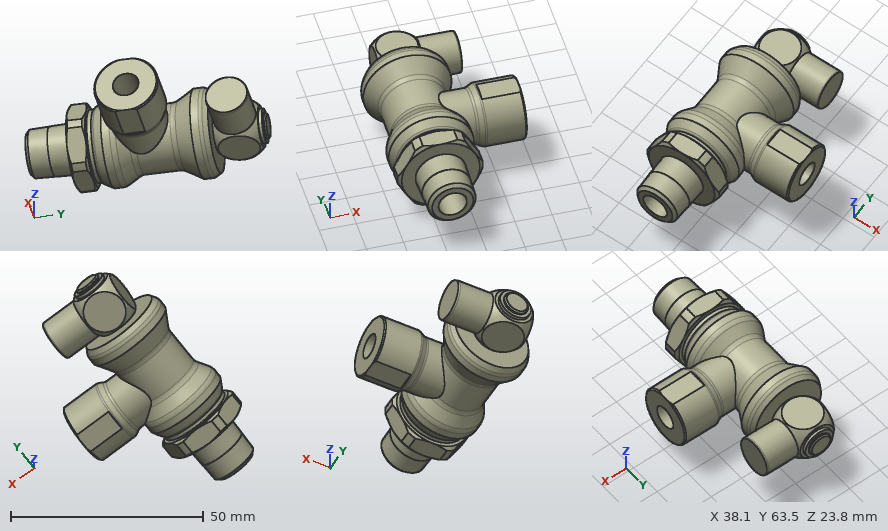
import cadquery as cq
import math


slope = math.tan(math.radians(30))

thread_length = 11.85
thread_tip_radius = 6.4
thread_taper = 1 / 32
thread_gauge_y = 6.1
thread_gauge_step = 0.03
thread_chamfer = 0.9

hex_across_flats = 21.0
hex_corner_radius = 11.5
hex_length = 5.1
hex_chamfer_length = 0.65

neck_radius = 8.9
neck_length = 0.25
collar_radius = 9.65
collar_length = 1.15
collar_lead = 0.45
lower_bulge_radius = 11.5
lower_bulge_start = 21.3
waist_radius = 8.9
waist_start = 28.75
waist_end = 39.9
upper_bulge_radius = 23.8 / 2
upper_bulge_end = 47.7
body_end = 49.6
lead_fillet = 1.95
body_fillet = 3.0

branch_y = 31.15
branch_neck_radius = 7.5
branch_head_radius = 8.5
branch_flare_start = 13.2
branch_flare_end = 15.15
branch_end = 26.2
branch_flats = 16.0
branch_flats_start = 15.5
branch_chamfer = 0.4
branch_root_fillet = 1.5
branch_rim_fillet = 1.0

elbow_width = 12.0
elbow_face_radius = 5.5
elbow_y = 55.7
outlet_radius = 11.2 / 2
outlet_end = 16.1
outlet_chamfer_length = 0.45
outlet_chamfer_depth = 0.1
swivel_radius = 4.6
cap_flange_end = 62.6
cap_radius = 3.5
cap_chamfer = 0.45
overall_length = 63.45

drill_half_angle = math.radians(118 / 2)
inlet_bore_radius = 3.8
inlet_bore_depth = 30.6
branch_bore_radius = 3.4


def turned(outline):
    """Solid of revolution about Y from (radius, y) points."""
    closed = [(0, outline[0][1])] + outline
    if outline[-1][0] > 0:
        closed.append((0, outline[-1][1]))
    return cq.Workplane("XY").polyline(closed).close().revolve(360, (0, 0, 0), (0, 1, 0))


def turned_along_x(outline, y):
    """Solid of revolution about the line parallel to X at the given y, from (x, radius) points."""
    closed = outline + [(outline[-1][0], 0)]
    if outline[0][1] > 0:
        closed.append((outline[0][0], 0))
    profile = cq.Workplane("XY", origin=(0, y, 0)).polyline(closed).close()
    return profile.revolve(360, (0, 0, 0), (1, 0, 0))


def round_ring(solid, center, radius):
    """Fillet the circular edge with the given centre."""
    return solid.edges("%CIRCLE").edges(cq.NearestToPointSelector(center)).fillet(radius)


def make_thread():
    def radius_at(y):
        return thread_tip_radius + thread_taper * y

    return turned([
        (thread_tip_radius - thread_chamfer, 0),
        (radius_at(thread_chamfer), thread_chamfer),
        (radius_at(thread_gauge_y), thread_gauge_y),
        (radius_at(thread_gauge_y) + thread_gauge_step, thread_gauge_y),
        (radius_at(thread_length) + thread_gauge_step, thread_length),
    ])


def make_hex(start):
    face_radius = hex_across_flats / 2
    end = start + hex_length
    envelope = turned([
        (face_radius, start),
        (hex_corner_radius, start + hex_chamfer_length),
        (hex_corner_radius, end - hex_chamfer_length),
        (face_radius, end),
    ])
    corner_diameter = hex_across_flats / math.cos(math.pi / 6)
    prism = cq.Workplane("XZ", origin=(0, start, 0)).polygon(6, corner_diameter).extrude(-hex_length)
    return prism.intersect(envelope)


def make_body(start):
    collar_start = start + neck_length
    collar_end = collar_start + collar_length
    lead_end = collar_end + collar_lead
    lower_bulge_end = waist_start - (lower_bulge_radius - waist_radius) / slope
    upper_bulge_start = waist_end + (upper_bulge_radius - waist_radius) / slope
    top_radius = upper_bulge_radius - (body_end - upper_bulge_end) * slope
    body = turned([
        (neck_radius, start),
        (neck_radius, collar_start),
        (collar_radius, collar_start),
        (collar_radius, collar_end),
        (collar_radius + collar_lead, lead_end),
        (lower_bulge_radius, lower_bulge_start),
        (lower_bulge_radius, lower_bulge_end),
        (waist_radius, waist_start),
        (waist_radius, waist_end),
        (upper_bulge_radius, upper_bulge_start),
        (upper_bulge_radius, upper_bulge_end),
        (top_radius, body_end),
    ])
    for y in (lower_bulge_end, waist_start, waist_end):
        body = round_ring(body, (0, y, 0), body_fillet)
    for y in (lead_end, upper_bulge_end):
        body = round_ring(body, (0, y, 0), lead_fillet)
    return body


def make_branch():
    branch = turned_along_x([
        (0, branch_neck_radius),
        (branch_flare_start, branch_neck_radius),
        (branch_flare_end, branch_head_radius),
        (branch_end - branch_chamfer, branch_head_radius),
        (branch_end, branch_head_radius - branch_chamfer),
    ], branch_y)
    branch = round_ring(branch, (branch_flare_start, branch_y, 0), branch_root_fillet)
    branch = round_ring(branch, (branch_flare_end, branch_y, 0), branch_rim_fillet)

    flats_length = branch_end - branch_flats_start
    flats_center = (branch_flats_start + flats_length / 2, branch_y, 0)
    head_width = 2 * branch_head_radius
    ring_blank = cq.Workplane("XY").box(flats_length, head_width, head_width)
    kept = cq.Workplane("XY").box(flats_length, head_width, branch_flats)
    return branch.cut(ring_blank.cut(kept).translate(flats_center))


def make_elbow():
    cube = cq.Workplane("XY").box(elbow_width, elbow_width, elbow_width)
    ball = cq.Workplane("XY").sphere(math.hypot(elbow_width / 2, elbow_face_radius))
    elbow = cube.intersect(ball).translate((0, elbow_y, 0))
    outlet = turned_along_x([
        (0, outlet_radius),
        (outlet_end - outlet_chamfer_length, outlet_radius),
        (outlet_end, outlet_radius - outlet_chamfer_depth),
    ], elbow_y)
    stem = turned([
        (swivel_radius, body_end),
        (swivel_radius, cap_flange_end),
        (cap_radius, cap_flange_end),
        (cap_radius, overall_length - cap_chamfer),
        (cap_radius - cap_chamfer, overall_length),
    ])
    return elbow.union(outlet).union(stem)


def make_inlet_bore():
    tip = inlet_bore_depth + inlet_bore_radius / math.tan(drill_half_angle)
    return turned([(inlet_bore_radius, 0), (inlet_bore_radius, inlet_bore_depth), (0, tip)])


def make_branch_bore():
    tip = -branch_bore_radius / math.tan(drill_half_angle)
    return turned_along_x([(tip, 0), (0, branch_bore_radius), (branch_end, branch_bore_radius)], branch_y)


hex_end = thread_length + hex_length
result = (
    make_thread()
    .union(make_hex(thread_length))
    .union(make_body(hex_end))
    .union(make_branch())
    .union(make_elbow())
    .cut(make_inlet_bore())
    .cut(make_branch_bore())
)